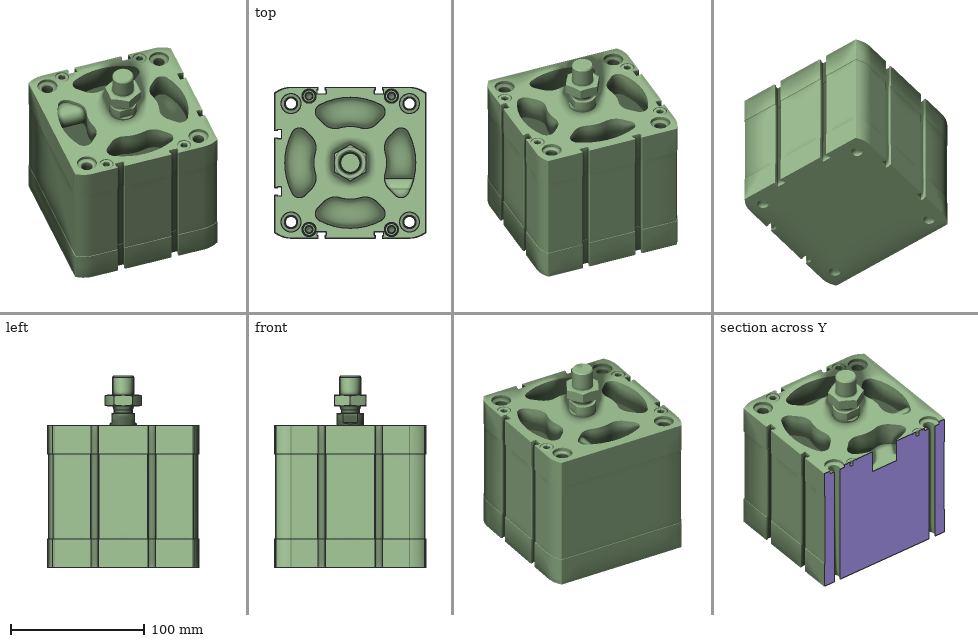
import cadquery as cq
import math

HOUSING_WIDTH = 113.5
HOUSING_HEIGHT = 106.8
CAP_HEIGHT = 21.6
BARREL_INSET = 0.5
CORNER_RADIUS = 20.0
CORNER_OFFSET = 44.4
CORNER_EDGE_RADIUS = 1.0

SLOT_OFFSET = 21.5
SLOT_OPENING = 5.3
SLOT_WIDTH = 6.8
SLOT_DEPTH = 4.9
SLOT_LIP = 1.7
CAP_SLOT_CHAMFER = 0.3
BARREL_SLOT_CHAMFER = 0.5

MOUNT_OFFSET = 44.5
MOUNT_DIAMETER = 8.5
MOUNT_BORE_DIAMETER = 15.0
MOUNT_BORE_DEPTH = 2.5
MOUNT_CHAMFER_DIAMETER = 10.0

SCREW_X = 31.0
SCREW_Y = 50.1
SCREW_DIAMETER = 10.7
SCREW_TOP_DIAMETER = 9.0
SOCKET_RIM_DIAMETER = 5.9
SOCKET_FLATS = 5.0
SOCKET_DEPTH = 4.0
SOCKET_TIP_ANGLE = 140

POCKET_DEPTH = 18.6
POCKET_INNER_RADIUS = 27.4
POCKET_OUTER_RADIUS = 49.2
POCKET_INNER_FILLET = 12.0
POCKET_OUTER_FILLET = 6.0
RIB_WIDTH = 13.4

BLOCK_DROP = 3.2
BLOCK_RADIUS = 7.9
BLOCK_FLAT_END = -19.9

ROD_TOP = 144.0
ROD_DIAMETER = 20.0
ROD_SHOULDER_Z = 115.8
FLAT_SPACING = 17.0
FLAT_BOTTOM_Z = 108.9
FLAT_RUNOUT = 0.9
NECK_DIAMETER = 13.5
NECK_TOP_Z = 118.5
NECK_CHAMFER = 0.5
THREAD_DIAMETER = 16.0
TIP_DIAMETER = 14.4
TIP_CHAMFER_HEIGHT = 1.0

NUT_BOTTOM_Z = 121.5
NUT_HEIGHT = 8.0
NUT_FLATS = 23.8
NUT_FACE_DIAMETER = 23.5
NUT_CHAMFER_HEIGHT = 0.6

COS_45 = math.sqrt(0.5)
MIRRORS = [(sx, sy) for sx in (-1, 1) for sy in (-1, 1)]


def cylinder(diameter, bottom, top):
    """Cylinder about the Z axis."""
    return cq.Workplane("XY", origin=(0, 0, bottom)).circle(diameter / 2).extrude(top - bottom)


def cone(lower_diameter, upper_diameter, bottom, top):
    """Cone about the Z axis; either end may come to a point."""
    height = top - bottom
    return cq.Workplane(cq.Solid.makeCone(lower_diameter / 2, upper_diameter / 2, height, cq.Vector(0, 0, bottom)))


def hexagon(flats, bottom, top):
    """Hexagonal prism about the Z axis with two corners on the Y axis."""
    corners = flats / math.cos(math.pi / 6)
    prism = cq.Workplane("XY", origin=(0, 0, bottom)).polygon(6, corners).extrude(top - bottom)
    return prism.rotate((0, 0, 0), (0, 0, 1), 90)



def housing_section(inset, slot_chamfer, bottom, top):
    """Square prism with arched corners and T-slots, with every side moved in by `inset`."""
    half = HOUSING_WIDTH / 2 - inset
    radius = CORNER_RADIUS - inset
    edge_radius = CORNER_EDGE_RADIUS - inset
    centre_y = half - radius
    arc_reach = half - edge_radius - CORNER_OFFSET
    arc_angle = math.asin(arc_reach / radius)
    mid_x = CORNER_OFFSET + radius * math.sin(arc_angle / 2)
    mid_y = centre_y + radius * math.cos(arc_angle / 2)
    arc_end_x = half - edge_radius
    arc_end_y = centre_y + radius * math.cos(arc_angle)
    side_y = arc_end_y - edge_radius
    round_x = arc_end_x + edge_radius * COS_45
    round_y = side_y + edge_radius * COS_45
    section = (
        cq.Workplane("XY", origin=(0, 0, bottom))
        .moveTo(-CORNER_OFFSET, half)
        .lineTo(CORNER_OFFSET, half)
        .threePointArc((mid_x, mid_y), (arc_end_x, arc_end_y))
        .threePointArc((round_x, round_y), (half, side_y))
        .lineTo(half, -side_y)
        .threePointArc((round_x, -round_y), (arc_end_x, -arc_end_y))
        .threePointArc((mid_x, -mid_y), (CORNER_OFFSET, -half))
        .lineTo(-CORNER_OFFSET, -half)
        .threePointArc((-mid_x, -mid_y), (-arc_end_x, -arc_end_y))
        .threePointArc((-round_x, -round_y), (-half, -side_y))
        .lineTo(-half, side_y)
        .threePointArc((-round_x, round_y), (-arc_end_x, arc_end_y))
        .threePointArc((-mid_x, mid_y), (-CORNER_OFFSET, half))
        .close()
        .extrude(top - bottom)
    )

    slot = t_slot(half, slot_chamfer, bottom, top)
    for angle in (0, 90, 180):
        for offset in (-SLOT_OFFSET, SLOT_OFFSET):
            section = section.cut(slot.translate((offset, 0, 0)).rotate((0, 0, 0), (0, 0, 1), angle))
    return section


def t_slot(side, chamfer, bottom, top):
    """T-slot at X = 0, opening through the face Y = `side` with chamfered lips."""
    opening = SLOT_OPENING / 2
    wide = SLOT_WIDTH / 2
    floor = side - SLOT_DEPTH
    lip_back = side - SLOT_LIP
    return (
        cq.Workplane("XY", origin=(0, 0, bottom))
        .moveTo(-wide, floor)
        .lineTo(wide, floor)
        .lineTo(wide, lip_back)
        .lineTo(opening, lip_back)
        .lineTo(opening, side - chamfer)
        .lineTo(opening + chamfer, side)
        .lineTo(-opening - chamfer, side)
        .lineTo(-opening, side - chamfer)
        .lineTo(-opening, lip_back)
        .lineTo(-wide, lip_back)
        .close()
        .extrude(top - bottom)
    )


def pocket():
    """Kidney pocket on the +Y side of the rod: two arcs about the rod axis, joined along the ribs."""
    rib_gap = RIB_WIDTH / 2 / COS_45

    def fillet_centre(radius, distance):
        gap = rib_gap + radius / COS_45
        x = (math.sqrt(2 * distance**2 - gap**2) - gap) / 2
        return x, x + gap

    inner_x, inner_y = fillet_centre(POCKET_INNER_FILLET, POCKET_INNER_RADIUS + POCKET_INNER_FILLET)
    outer_x, outer_y = fillet_centre(POCKET_OUTER_FILLET, POCKET_OUTER_RADIUS - POCKET_OUTER_FILLET)
    inner_scale = POCKET_INNER_RADIUS / math.hypot(inner_x, inner_y)
    outer_scale = POCKET_OUTER_RADIUS / math.hypot(outer_x, outer_y)
    inner_end = (inner_x * inner_scale, inner_y * inner_scale)
    outer_end = (outer_x * outer_scale, outer_y * outer_scale)
    rib_inner = (inner_x + POCKET_INNER_FILLET * COS_45, inner_y - POCKET_INNER_FILLET * COS_45)
    rib_outer = (outer_x + POCKET_OUTER_FILLET * COS_45, outer_y - POCKET_OUTER_FILLET * COS_45)
    inner_low = (inner_x, inner_y - POCKET_INNER_FILLET)
    outer_side = (outer_x + POCKET_OUTER_FILLET, outer_y)

    def mirrored(point):
        return -point[0], point[1]

    return (
        cq.Workplane("XY", origin=(0, 0, HOUSING_HEIGHT - POCKET_DEPTH))
        .moveTo(*mirrored(inner_end))
        .threePointArc((0, POCKET_INNER_RADIUS), inner_end)
        .threePointArc(inner_low, rib_inner)
        .lineTo(*rib_outer)
        .threePointArc(outer_side, outer_end)
        .threePointArc((0, POCKET_OUTER_RADIUS), mirrored(outer_end))
        .threePointArc(mirrored(outer_side), mirrored(rib_outer))
        .lineTo(*mirrored(rib_inner))
        .threePointArc(mirrored(inner_low), mirrored(inner_end))
        .close()
        .extrude(POCKET_DEPTH)
    )


def pocket_block():
    """Block with a half-round +Y side, filling the -Y end of the +X pocket up to just below the top."""
    side = -HOUSING_WIDTH / 2
    top = HOUSING_HEIGHT - BLOCK_DROP
    bottom = top - 2 * BLOCK_RADIUS
    block = (
        cq.Workplane("YZ")
        .moveTo(side, bottom)
        .lineTo(side, top)
        .lineTo(BLOCK_FLAT_END, top)
        .threePointArc((BLOCK_FLAT_END + BLOCK_RADIUS, top - BLOCK_RADIUS), (BLOCK_FLAT_END, bottom))
        .close()
        .extrude(HOUSING_WIDTH / 2)
    )
    return block.intersect(pocket().rotate((0, 0, 0), (0, 0, 1), -90))


def mounting_hole():
    """Through hole, counterbored from the top and chamfered at the counterbore floor."""
    bore_floor = HOUSING_HEIGHT - MOUNT_BORE_DEPTH
    chamfer = (MOUNT_CHAMFER_DIAMETER - MOUNT_DIAMETER) / 2
    hole = cylinder(MOUNT_DIAMETER, 0, HOUSING_HEIGHT)
    counterbore = cylinder(MOUNT_BORE_DIAMETER, bore_floor, HOUSING_HEIGHT)
    countersink = cone(MOUNT_DIAMETER, MOUNT_CHAMFER_DIAMETER, bore_floor - chamfer, bore_floor)
    return hole.union(countersink).union(counterbore)


def screw_recess():
    """V-groove around a flush screw head, with its hexagon socket."""
    top = HOUSING_HEIGHT
    groove_floor = top - (SCREW_DIAMETER - SCREW_TOP_DIAMETER) / 2
    groove = cylinder(SCREW_DIAMETER, groove_floor, top).cut(
        cone(SCREW_DIAMETER, SCREW_TOP_DIAMETER, groove_floor, top)
    )
    socket_floor = top - SOCKET_DEPTH
    socket = hexagon(SOCKET_FLATS, socket_floor, top)
    rim_depth = (SOCKET_RIM_DIAMETER - SOCKET_FLATS) / 2
    rim = cone(SOCKET_FLATS, SOCKET_RIM_DIAMETER, top - rim_depth, top)
    tip_depth = SOCKET_FLATS / 2 / math.tan(math.radians(SOCKET_TIP_ANGLE / 2))
    tip = cone(0, SOCKET_FLATS, socket_floor - tip_depth, socket_floor)
    return groove.union(socket.union(rim).union(tip))


def make_housing():
    cap_start = HOUSING_HEIGHT - CAP_HEIGHT
    body = housing_section(0, CAP_SLOT_CHAMFER, 0, CAP_HEIGHT)
    body = body.union(housing_section(BARREL_INSET, BARREL_SLOT_CHAMFER, CAP_HEIGHT, cap_start))
    body = body.union(housing_section(0, CAP_SLOT_CHAMFER, cap_start, HOUSING_HEIGHT))

    for angle in (0, 90, 180, 270):
        body = body.cut(pocket().rotate((0, 0, 0), (0, 0, 1), angle))
    body = body.union(pocket_block())

    for sx, sy in MIRRORS:
        body = body.cut(mounting_hole().translate((sx * MOUNT_OFFSET, sy * MOUNT_OFFSET, 0)))
        body = body.cut(screw_recess().translate((sx * SCREW_X, sy * SCREW_Y, 0)))

    return body.cut(cylinder(ROD_DIAMETER, cap_start, HOUSING_HEIGHT))



def rod_flat():
    """Wrench flat on the +Y side, from the shoulder down to a sloping floor."""
    flat = FLAT_SPACING / 2
    rim = ROD_DIAMETER / 2
    return (
        cq.Workplane("YZ")
        .moveTo(flat, ROD_SHOULDER_Z)
        .lineTo(flat, FLAT_BOTTOM_Z)
        .lineTo(rim, FLAT_BOTTOM_Z - FLAT_RUNOUT)
        .lineTo(rim, ROD_SHOULDER_Z)
        .close()
        .extrude(rim, both=True)
    )


def make_rod():
    thread_end = ROD_TOP - TIP_CHAMFER_HEIGHT
    profile = [
        (0, HOUSING_HEIGHT - CAP_HEIGHT),
        (ROD_DIAMETER / 2, HOUSING_HEIGHT - CAP_HEIGHT),
        (ROD_DIAMETER / 2, ROD_SHOULDER_Z),
        (NECK_DIAMETER / 2 + NECK_CHAMFER, ROD_SHOULDER_Z),
        (NECK_DIAMETER / 2, ROD_SHOULDER_Z + NECK_CHAMFER),
        (NECK_DIAMETER / 2, NECK_TOP_Z),
        (THREAD_DIAMETER / 2, NUT_BOTTOM_Z),
        (THREAD_DIAMETER / 2, thread_end),
        (TIP_DIAMETER / 2, ROD_TOP),
        (0, ROD_TOP),
    ]
    rod = cq.Workplane("XZ").polyline(profile).close().revolve(360, (0, 0, 0), (0, 1, 0))
    for angle in (0, 180):
        rod = rod.cut(rod_flat().rotate((0, 0, 0), (0, 0, 1), angle))
    return rod



def make_nut():
    """Hexagon nut, chamfered at both faces."""
    top = NUT_BOTTOM_Z + NUT_HEIGHT
    corner = NUT_FLATS / math.cos(math.pi / 6)
    lower = NUT_BOTTOM_Z + NUT_CHAMFER_HEIGHT
    upper = top - NUT_CHAMFER_HEIGHT
    envelope = (
        cone(NUT_FACE_DIAMETER, corner, NUT_BOTTOM_Z, lower)
        .union(cylinder(corner, lower, upper))
        .union(cone(corner, NUT_FACE_DIAMETER, upper, top))
    )
    blank = hexagon(NUT_FLATS, NUT_BOTTOM_Z, top)
    return blank.intersect(envelope).cut(cylinder(THREAD_DIAMETER, NUT_BOTTOM_Z, top))


housing = make_housing()
rod = make_rod()
nut = make_nut()

result = cq.Compound.makeCompound([housing.val(), rod.val(), nut.val()])